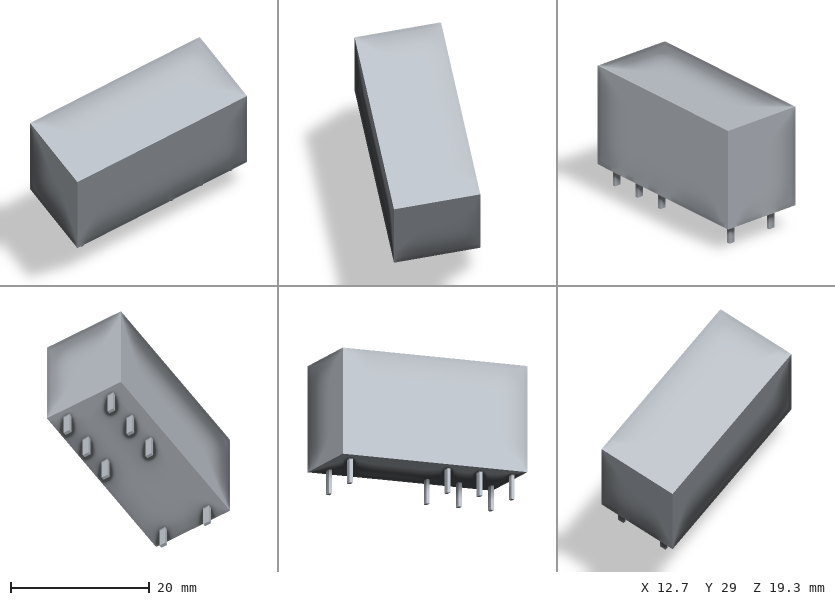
import cadquery as cq

length = 29.0
width = 12.7
total_height = 19.3
pin_length = 3.6
body_height = total_height - pin_length

pin_width = 1.0
pin_thickness = 0.5
row_spacing = 7.5
row_offset = -0.12
pin_pitch = 5.05
first_pin_y = 13.22
end_pin_y = -12.2

row_xs = [row_offset - row_spacing / 2, row_offset + row_spacing / 2]
pin_ys = [first_pin_y - i * pin_pitch for i in range(3)] + [end_pin_y]
pin_centres = [(x, y) for x in row_xs for y in pin_ys]

body = cq.Workplane("XY").box(width, length, body_height, centered=(True, True, False))
pins = (
    cq.Workplane("XY")
    .pushPoints(pin_centres)
    .rect(pin_width, pin_thickness)
    .extrude(-pin_length)
)

result = body.union(pins)